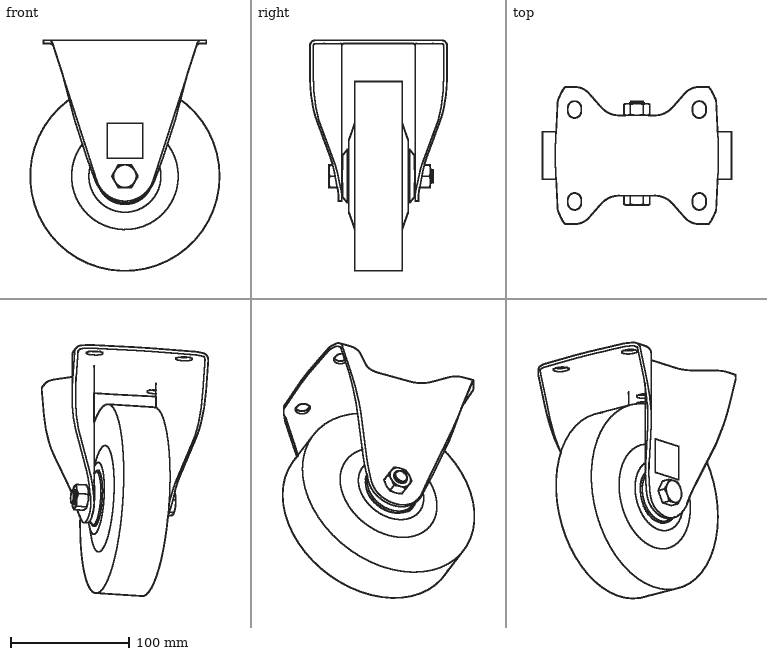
import cadquery as cq
import math


overall_height = 195
wheel_diameter = 160.0
wheel_radius = wheel_diameter / 2
plate_top = overall_height - wheel_radius

sheet = 3.0
fork_width = 116.0
fork_gap = 62.0
fold_radius = 5.0
neck_half_length = 15.0
convex_radius = 16.4
concave_radius = 20.0
neck_half_width = fork_gap / 2 + sheet
shoulder_x = 52.6

plate_half_length = 68.8
end_flat_half_width = 7.8
corner_start_x = 67.0
corner_start_y = 44.5
corner_end_x = 66.1
corner_end_y = 48.4
fold_start_x = 64.0

leg_top_half_length = 60.5
leg_tip_radius = 25.0
leg_tip_z = -21.0
leg_top = plate_top - fold_radius

slot_x = shoulder_x
slot_y = 38.8
slot_width = 11.1
slot_length = 14.0

label_bottom = 15.2
label_top = 44.7
label_thickness = 0.1

tread_half_width = 20.0
hub_half_width = 25.2
hub_base_radius = 45.0
hub_face_radius = 30.5
recess_radius = 23.8
recess_depth = 2.0
collar_radius = 22.6
collar_rim = 1.2
collar_end_radius = 17.7
collar_end_y = 30.5

bolt_diameter = 12.0
bolt_end_y = 46.0
bolt_tip_diameter = 10.7
shank_beyond_nut = 0.8
hexagon_flats = 19.1
head_height = 8.0
nut_height = 10.0
crown_angle = 30


def plan_outline():
    """Sharp-cornered plan of the fork, longer than the plate, and the X of its neck and shoulder corners."""
    blank_end = 2 * plate_half_length
    half_width = fork_width / 2

    centre_dx = shoulder_x - neck_half_length
    centre_dy = neck_half_width + concave_radius - (half_width - convex_radius)
    centre_distance = math.hypot(centre_dx, centre_dy)
    slant = math.asin((convex_radius + concave_radius) / centre_distance) - math.atan2(centre_dy, centre_dx)

    neck_corner = neck_half_length + concave_radius * math.tan(slant / 2)
    shoulder_corner = shoulder_x - convex_radius * math.tan(slant / 2)
    quarter = [
        (neck_corner, neck_half_width),
        (shoulder_corner, half_width),
        (blank_end, half_width),
    ]
    right = [(x, -y) for x, y in quarter] + [(x, y) for x, y in reversed(quarter)]
    left = [(-x, y) for x, y in reversed(right)]
    return right + left, neck_corner, shoulder_corner


def fork_block():
    """Solid block whose top and side faces are the outside of the bent sheet."""
    outline, neck_corner, shoulder_corner = plan_outline()
    depth = plate_top + wheel_radius
    block = cq.Workplane("XY").workplane(offset=plate_top).polyline(outline).close().extrude(-depth)

    def bend_edges(x):
        reach = 0.2
        return cq.selectors.BoxSelector((x - reach, -fork_width, -depth), (x + reach, fork_width, depth))

    for side in (1, -1):
        block = block.edges("|Z").edges(bend_edges(side * neck_corner)).fillet(concave_radius)
        block = block.edges("|Z").edges(bend_edges(side * shoulder_corner)).fillet(convex_radius)
    return block.faces(">Z").edges("not(<X or >X)").fillet(fold_radius)


def leg_profile():
    """Front outline: full length at the plate, then legs tapering to a round tip."""
    centre_z = leg_tip_z + leg_tip_radius
    rise = leg_top - centre_z
    reach = math.hypot(leg_top_half_length, rise)
    tangent_angle = math.atan2(rise, leg_top_half_length) - math.acos(leg_tip_radius / reach)
    tangent_x = leg_tip_radius * math.cos(tangent_angle)
    tangent_z = centre_z + leg_tip_radius * math.sin(tangent_angle)
    above = plate_top + sheet
    return (
        cq.Workplane("XZ")
        .moveTo(-plate_half_length, above)
        .lineTo(-plate_half_length, leg_top)
        .lineTo(-leg_top_half_length, leg_top)
        .lineTo(-tangent_x, tangent_z)
        .threePointArc((0, leg_tip_z), (tangent_x, tangent_z))
        .lineTo(leg_top_half_length, leg_top)
        .lineTo(plate_half_length, leg_top)
        .lineTo(plate_half_length, above)
        .close()
        .extrude(fork_width, both=True)
    )


def plate_profile():
    """Plan outline of the plate: flat, tapered and rounded ends, mirrored from one quarter."""
    edge_y = fork_width / 2
    quarter = (
        cq.Workplane("XY")
        .lineTo(plate_half_length, 0)
        .lineTo(plate_half_length, end_flat_half_width)
        .lineTo(corner_start_x, corner_start_y)
        .tangentArcPoint((corner_end_x, corner_end_y), relative=False)
        .lineTo(fold_start_x, edge_y - fold_radius)
        .tangentArcPoint((leg_top_half_length, edge_y), relative=False)
        .lineTo(0, edge_y)
        .close()
        .extrude(overall_height, both=True)
    )
    half = quarter.union(quarter.mirror("XZ"))
    return half.union(half.mirror("YZ"))


def bolt_hole_rod():
    """Rod of the bolt's diameter along the axle, longer than any body it passes through."""
    return cq.Workplane("XZ").circle(bolt_diameter / 2).extrude(fork_width, both=True)


def plate_slots():
    corners = [(sx * slot_x, sy * slot_y) for sx in (1, -1) for sy in (1, -1)]
    return (
        cq.Workplane("XY")
        .workplane(offset=leg_top)
        .pushPoints(corners)
        .slot2D(slot_length, slot_width, 90)
        .extrude(2 * fold_radius)
    )


def label_pad():
    """Thin raised pad on the flat of the front leg."""
    return (
        cq.Workplane("XZ", origin=(0, -neck_half_width, 0))
        .moveTo(-neck_half_length, label_bottom)
        .lineTo(neck_half_length, label_bottom)
        .lineTo(neck_half_length, label_top)
        .lineTo(-neck_half_length, label_top)
        .close()
        .extrude(label_thickness)
    )


def make_fork():
    """Outer skin trimmed to the profiles, then thickened inwards so its edges stay square to the sheet."""
    outer_faces = fork_block().faces("not(<Z or <X or >X)").vals()
    trimmed = cq.Shell.makeShell(outer_faces).intersect(leg_profile().intersect(plate_profile()).val())
    skin = cq.Shell.makeShell(trimmed.Faces())
    bent_sheet = cq.Workplane(cq.occ_impl.shapes.offset(skin, -sheet, cap=True))
    return bent_sheet.cut(plate_slots()).union(label_pad()).cut(bolt_hole_rod())


def make_wheel():
    """Turned wheel: flat tread, conical hub faces and a collar standing in a recess on each side."""
    bore_radius = bolt_diameter / 2
    one_side = [
        (wheel_radius, tread_half_width),
        (hub_base_radius, tread_half_width),
        (hub_face_radius, hub_half_width),
        (recess_radius, hub_half_width),
        (recess_radius, hub_half_width - recess_depth),
        (collar_radius, hub_half_width - recess_depth),
        (collar_radius, hub_half_width + collar_rim),
        (collar_end_radius, collar_end_y),
        (bore_radius, collar_end_y),
    ]
    other_side = [(radius, -y) for radius, y in reversed(one_side)]
    return cq.Workplane("XY").polyline(one_side + other_side).close().revolve(360, (0, 0), (0, 1))


def hexagon(start_y, height, crowned_start, crowned_end):
    """Hexagon along +Y, its corners turned off to a cone at the chosen ends."""
    corner_radius = hexagon_flats / 2 / math.cos(math.pi / 6)
    flat_radius = hexagon_flats / 2
    crown = (corner_radius - flat_radius) * math.tan(math.radians(crown_angle))
    end_y = start_y + height
    start_radius = flat_radius if crowned_start else corner_radius
    end_radius = flat_radius if crowned_end else corner_radius
    envelope = (
        cq.Workplane("XY")
        .moveTo(0, start_y)
        .lineTo(start_radius, start_y)
        .lineTo(corner_radius, start_y + crown)
        .lineTo(corner_radius, end_y - crown)
        .lineTo(end_radius, end_y)
        .lineTo(0, end_y)
        .close()
        .revolve(360, (0, 0), (0, 1))
    )
    prism = cq.Workplane("XZ", origin=(0, start_y, 0)).polygon(6, 2 * corner_radius).extrude(-height)
    return prism.intersect(envelope)


def make_bolt():
    """Bolt with its head on the front leg and its shank through to the nut."""
    head = hexagon(-neck_half_width - head_height, head_height, True, False)
    shank_end = neck_half_width + nut_height + shank_beyond_nut
    shank = (
        cq.Workplane("XZ", origin=(0, -neck_half_width, 0))
        .circle(bolt_diameter / 2)
        .extrude(-(neck_half_width + shank_end))
    )
    tip = (
        cq.Workplane("XZ", origin=(0, shank_end, 0))
        .circle(bolt_tip_diameter / 2)
        .extrude(shank_end - bolt_end_y)
    )
    return head.union(shank).union(tip)


def make_nut():
    return hexagon(neck_half_width, nut_height, True, True).cut(bolt_hole_rod())


fork = make_fork().solids()
wheel = make_wheel().solids()
bolt = make_bolt().solids()
nut = make_nut().solids()

result = cq.Compound.makeCompound([fork.val(), wheel.val(), bolt.val(), nut.val()])